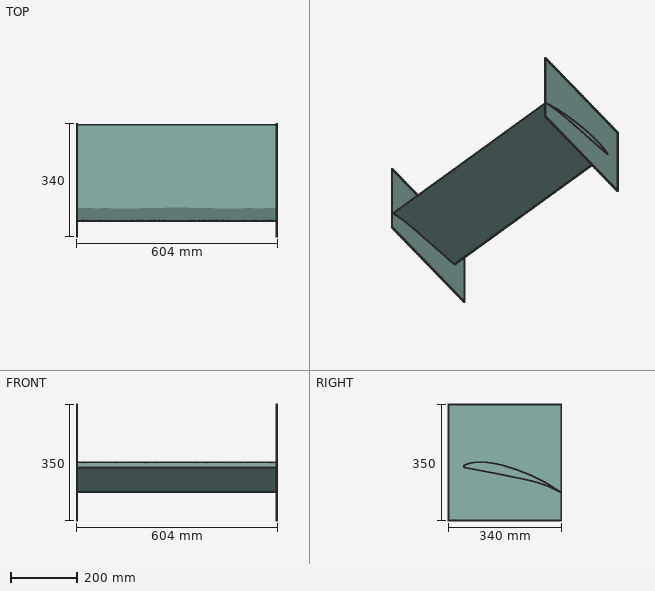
import cadquery as cq

span = 604.0
plate_depth = 340.0
plate_height = 350.0
plate_thickness = 2.5

trailing_edge = (167.0, -89.0)
leading_edge = (-124.0, -11.5)
upper_points = [
    (137.0, -69.5),
    (89.0, -43.0),
    (40.0, -23.0),
    (-8.5, -8.0),
    (-41.0, -1.0),
    (-73.5, 1.0),
    (-98.0, -0.5),
    (-114.0, -5.0),
]
nose_underside = (-120.0, -15.0)
lower_points = [
    (-73.5, -24.0),
    (-17.0, -35.0),
    (40.0, -46.5),
    (89.0, -57.5),
    (121.0, -67.5),
    (145.5, -78.0),
]


def end_plate(side):
    """Thin rectangular plate, flush with the wing tip on one side."""
    center_x = side * (span - plate_thickness) / 2
    plate = cq.Workplane("XY").box(plate_thickness, plate_depth, plate_height)
    return plate.translate((center_x, 0, 0))


def wing():
    """Wing of constant section, running through both end plates."""
    upper_curve = [*upper_points, leading_edge, nose_underside]
    lower_curve = [*lower_points, trailing_edge]
    section = (
        cq.Workplane("YZ")
        .moveTo(*trailing_edge)
        .spline(upper_curve, includeCurrent=True)
        .spline(lower_curve, includeCurrent=True)
        .close()
    )
    return section.extrude(span / 2, both=True)


result = wing()
for side in (-1, 1):
    result = result.union(end_plate(side))